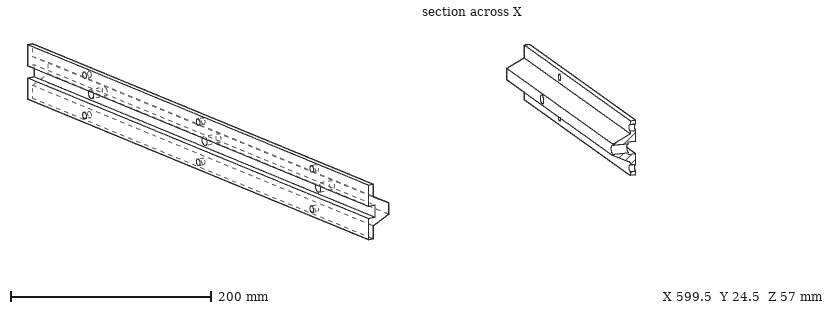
import cadquery as cq

length = 599.5
depth = 24.5
height = 57.0

flange_thickness = 6.0
channel_height = 12.5
channel_depth = 8.0
ridge_base_height = 30.0
ridge_crest_height = 12.0

column_pitch = length / 3
column_positions = (-column_pitch, 0, column_pitch)
flange_hole_diameter = 6.5
flange_hole_offset = 21.0
center_hole_diameter = 9.0


def make_rail():
    """Extrude the flanged section, with its channel open at the front (Y = 0)."""
    upper_half = [
        (0, channel_height / 2),
        (0, height / 2),
        (flange_thickness, height / 2),
        (flange_thickness, ridge_base_height / 2),
        (depth, ridge_crest_height / 2),
    ]
    lower_half = [(y, -z) for y, z in reversed(upper_half)]
    channel_floor = [
        (channel_depth, -channel_height / 2),
        (channel_depth, channel_height / 2),
    ]
    section = cq.Workplane("YZ").polyline(upper_half + lower_half + channel_floor).close()
    return section.extrude(length / 2, both=True)


def make_hole_row(z, diameter):
    """Make cutters running through the full depth, one per column, at height z."""
    centers = [(x, z) for x in column_positions]
    return cq.Workplane("XZ").pushPoints(centers).circle(diameter / 2).extrude(-depth)


result = make_rail()
result = result.cut(make_hole_row(0, center_hole_diameter))
for hole_z in (-flange_hole_offset, flange_hole_offset):
    result = result.cut(make_hole_row(hole_z, flange_hole_diameter))